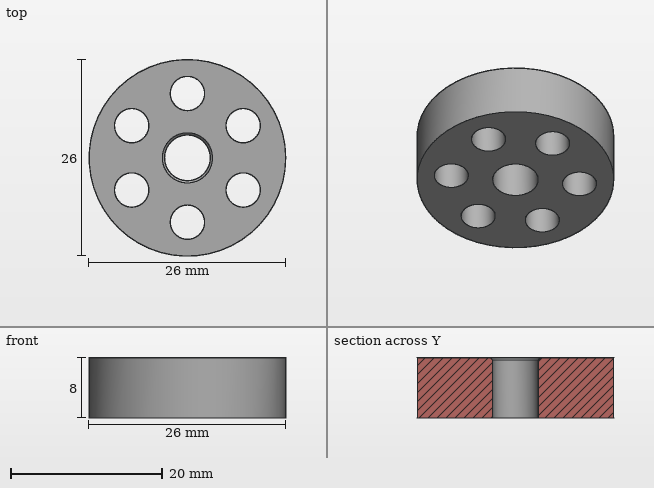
import cadquery as cq

disc_diameter = 26.0
disc_height = 8.0

bore_diameter = 6.0
bore_chamfer = 0.3

hole_count = 6
hole_diameter = 4.5
hole_circle_diameter = 17.0
first_hole_angle = 90


def make_disc():
    """Plain disc standing on the XY plane."""
    return cq.Workplane("XY").circle(disc_diameter / 2).extrude(disc_height)


def cut_bore(body):
    """Cut the central bore and chamfer its upper edge."""
    bored = body.faces(">Z").workplane().hole(bore_diameter)
    rim = bored.faces(">Z").edges(cq.selectors.RadiusNthSelector(0))
    return rim.chamfer(bore_chamfer)


def cut_hole_ring(body):
    """Cut the evenly spaced through holes around the bore."""
    return (
        body.faces(">Z")
        .workplane(origin=(0, 0, disc_height))
        .polarArray(hole_circle_diameter / 2, first_hole_angle, 360, hole_count)
        .hole(hole_diameter)
    )


result = cut_hole_ring(cut_bore(make_disc()))